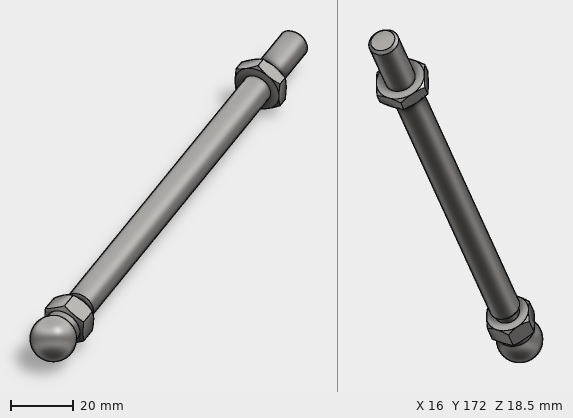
import cadquery as cq
import math


hex_sides = 6

overall_length = 172.0
ball_radius = 7.5
collar_radius = 6.0
hex_flats = 14.0
hex_start = 6.9
hex_end = 14.5
hex_ball_cone = (collar_radius, 20)
hex_rod_cone = (hex_flats / 2, 45)
neck_radius = 4.0
neck_end = 17.0
rod_radius = 5.0
neck_cone_length = 1.0
tip_chamfer = 1.0

nut_flats = 16.0
nut_thickness = 5.0
nut_to_rod_end = 21.0
nut_cone = (nut_flats / 2, 30)

rod_end = overall_length - ball_radius
rod_start = neck_end + neck_cone_length
nut_end = rod_end - nut_to_rod_end
nut_start = nut_end - nut_thickness


def revolve_about_y(profile):
    """Turn a closed XY profile a full turn around the Y axis."""
    return profile.close().revolve(360, (0, 0, 0), (0, 1, 0))


def chamfered_hexagon(across_flats, start, end, start_cone, end_cone):
    """Hexagon along Y with flats facing +X and -X.

    Each end is turned to a cone, given as (radius of its plane end face, cone angle in degrees).
    """
    corner_radius = across_flats / 2 / math.cos(math.pi / hex_sides)
    start_face_radius, start_angle = start_cone
    end_face_radius, end_angle = end_cone
    start_cone_length = (corner_radius - start_face_radius) * math.tan(math.radians(start_angle))
    end_cone_length = (corner_radius - end_face_radius) * math.tan(math.radians(end_angle))
    prism = (
        cq.Workplane("XZ", origin=(0, start, 0))
        .polygon(hex_sides, 2 * corner_radius)
        .extrude(start - end)
        .rotate((0, 0, 0), (0, 1, 0), 180 / hex_sides)
    )
    envelope = revolve_about_y(
        cq.Workplane("XY")
        .moveTo(0, start)
        .lineTo(start_face_radius, start)
        .lineTo(corner_radius, start + start_cone_length)
        .lineTo(corner_radius, end - end_cone_length)
        .lineTo(end_face_radius, end)
        .lineTo(0, end)
    )
    return prism.intersect(envelope)


def make_ball_stud():
    """Ball, collar, hexagon, neck and rod as one solid."""
    ball_to_collar = math.sqrt(ball_radius**2 - collar_radius**2)
    ball_and_collar = revolve_about_y(
        cq.Workplane("XY")
        .moveTo(0, -ball_radius)
        .threePointArc((ball_radius, 0), (collar_radius, ball_to_collar))
        .lineTo(collar_radius, hex_start)
        .lineTo(0, hex_start)
    )
    neck_and_rod = revolve_about_y(
        cq.Workplane("XY")
        .moveTo(0, hex_end)
        .lineTo(neck_radius, hex_end)
        .lineTo(neck_radius, neck_end)
        .lineTo(rod_radius, rod_start)
        .lineTo(rod_radius, rod_end - tip_chamfer)
        .lineTo(rod_radius - tip_chamfer, rod_end)
        .lineTo(0, rod_end)
    )
    hexagon = chamfered_hexagon(hex_flats, hex_start, hex_end, hex_ball_cone, hex_rod_cone)
    return ball_and_collar.union(hexagon).union(neck_and_rod)


def make_lock_nut():
    """Thin hexagon nut bored to the rod diameter."""
    bore = (
        cq.Workplane("XZ", origin=(0, nut_start, 0))
        .circle(rod_radius)
        .extrude(-nut_thickness)
    )
    hexagon = chamfered_hexagon(nut_flats, nut_start, nut_end, nut_cone, nut_cone)
    return hexagon.cut(bore)


ball_stud = make_ball_stud()
lock_nut = make_lock_nut()

result = cq.Compound.makeCompound([ball_stud.val(), lock_nut.val()])